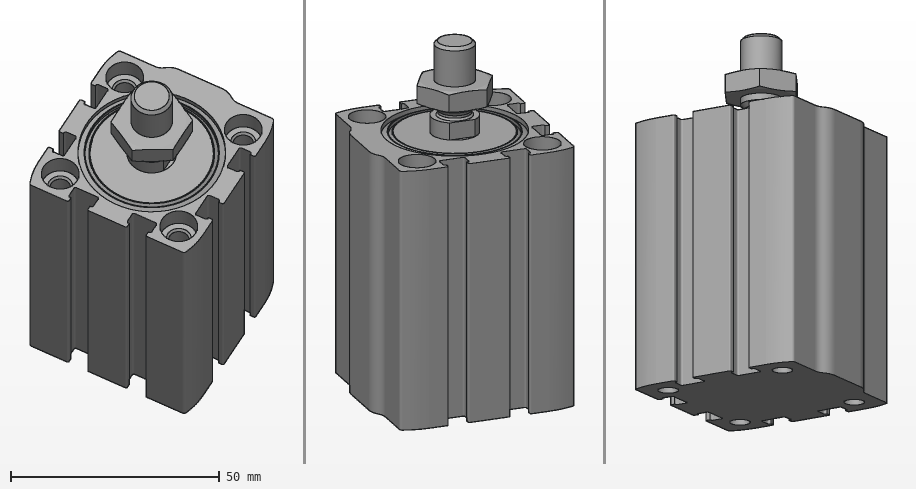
import cadquery as cq
import math

width = 45.0
depth = 47.0
half_width = width / 2
rib_edge = depth - half_width
housing_height = 66.5
total_height = 89.5

side_flat_half = 15.6
side_taper = 1.3
corner_round = 0.8

rib_flat_half = 5.8
rib_foot_half = 11.4
rib_blend_share = 0.6

slot_offset = 8.0
slot_depth = 4.6
slot_width = 6.6
slot_round = 0.45
mouth_depth = 1.3
mouth_width = 5.2
mouth_round = 0.4

hole_pitch = 32.4
hole_diameter = 4.9
countersink_diameter = 6.0
counterbore_diameter = 9.0
counterbore_depth = 5.1

cover_recess = 0.4
outer_groove_diameter = 35.4
outer_groove_inner_diameter = 32.5
outer_groove_drop = 0.9
inner_groove_diameter = 32.0
inner_groove_inner_diameter = 30.2
inner_groove_drop = 0.9
cover_disc_diameter = 29.6
cover_gap_depth = 0.9

rod_diameter = 12.0
rod_flats = 10.0
rod_shoulder_z = 70.5
rod_bore_depth = 17.9
stud_diameter = 10.0
stud_chamfer = 0.8
stud_bottom_z = 72.8
neck_diameter = 8.1
neck_top_z = 71.7
neck_bottom_z = 71.1
neck_foot_diameter = 9.0

nut_flats = 17
nut_height = 5.1
nut_bottom_z = 74.4
nut_face_diameter = 16.65
nut_corner_drop = 0.4

cover_z = housing_height - cover_recess
rod_bottom_z = cover_z - rod_bore_depth


def make_block():
    """Housing block: the right half of the outline, mirrored across the Y axis."""
    corner_x = half_width - side_taper
    bulge_x = half_width - side_taper / 4
    bulge_y = (side_flat_half + half_width) / 2
    blend_x = rib_flat_half + rib_blend_share * (rib_foot_half - rib_flat_half)
    blend_y = rib_edge - rib_blend_share * (rib_edge - half_width)
    block = (
        cq.Workplane("XY")
        .moveTo(0, -half_width)
        .lineTo(corner_x, -half_width)
        .threePointArc((bulge_x, -bulge_y), (half_width, -side_flat_half))
        .lineTo(half_width, side_flat_half)
        .threePointArc((bulge_x, bulge_y), (corner_x, half_width))
        .lineTo(rib_foot_half, half_width)
        .tangentArcPoint((blend_x, blend_y), relative=False)
        .tangentArcPoint((rib_flat_half, rib_edge), relative=False)
        .lineTo(0, rib_edge)
        .mirrorY()
        .extrude(housing_height)
    )
    for x in (-corner_x, corner_x):
        for y in (-half_width, half_width):
            corner = cq.selectors.NearestToPointSelector((x, y, housing_height / 2))
            block = block.edges(corner).fillet(corner_round)
    return block


def slot_cutter():
    """Full-height T-slot that opens toward -Y, with its opening on the X axis."""
    chamber_depth = slot_depth - mouth_depth
    chamber = (
        cq.Workplane("XY")
        .center(0, mouth_depth + chamber_depth / 2)
        .rect(slot_width, chamber_depth)
        .extrude(housing_height)
        .edges("|Z")
        .fillet(slot_round)
    )
    half_mouth = mouth_width / 2
    half_opening = half_mouth + mouth_round
    mouth_end = mouth_depth + slot_round
    mouth = (
        cq.Workplane("XY")
        .moveTo(-half_opening, 0)
        .radiusArc((-half_mouth, mouth_round), -mouth_round)
        .lineTo(-half_mouth, mouth_end)
        .lineTo(half_mouth, mouth_end)
        .lineTo(half_mouth, mouth_round)
        .radiusArc((half_opening, 0), -mouth_round)
        .close()
        .extrude(housing_height)
    )
    return chamber.union(mouth)


def cut_slots(body):
    slot = slot_cutter()
    for side_angle in (-90, 0, 90):
        for offset in (-slot_offset, slot_offset):
            placed = slot.translate((offset, -half_width, 0))
            body = body.cut(placed.rotate((0, 0, 0), (0, 0, 1), side_angle))
    return body


def cut_mounting_holes(body):
    seat_z = housing_height - counterbore_depth
    countersink_depth = (countersink_diameter - hole_diameter) / 2
    cutter = (
        cq.Workplane("XZ")
        .lineTo(hole_diameter / 2, 0)
        .lineTo(hole_diameter / 2, seat_z - countersink_depth)
        .lineTo(countersink_diameter / 2, seat_z)
        .lineTo(counterbore_diameter / 2, seat_z)
        .lineTo(counterbore_diameter / 2, housing_height)
        .lineTo(0, housing_height)
        .close()
        .revolve(360, (0, 0), (0, 1))
    )
    for x in (-hole_pitch / 2, hole_pitch / 2):
        for y in (-hole_pitch / 2, hole_pitch / 2):
            body = body.cut(cutter.translate((x, y, 0)))
    return body


def cut_cover_recess(body):
    recess = (
        cq.Workplane("XY")
        .workplane(offset=cover_z)
        .circle(outer_groove_diameter / 2)
        .extrude(cover_recess)
    )
    return body.cut(recess)


def cut_sloped_groove(body, outer_diameter, inner_diameter, drop):
    groove = (
        cq.Workplane("XZ")
        .moveTo(inner_diameter / 2, cover_z)
        .lineTo(outer_diameter / 2, cover_z - drop)
        .lineTo(outer_diameter / 2, cover_z)
        .close()
        .revolve(360, (0, 0), (0, 1))
    )
    return body.cut(groove)


def cut_cover_gap(body):
    gap = (
        cq.Workplane("XY")
        .workplane(offset=cover_z - cover_gap_depth)
        .circle(inner_groove_inner_diameter / 2)
        .circle(cover_disc_diameter / 2)
        .extrude(cover_gap_depth)
    )
    return body.cut(gap)


def rod_cylinder(bottom_z, top_z):
    return (
        cq.Workplane("XY")
        .workplane(offset=bottom_z)
        .circle(rod_diameter / 2)
        .extrude(top_z - bottom_z)
    )


def make_housing():
    body = make_block()
    body = cut_slots(body)
    body = cut_mounting_holes(body)
    body = cut_cover_recess(body)
    body = cut_sloped_groove(body, outer_groove_diameter, outer_groove_inner_diameter, outer_groove_drop)
    body = cut_sloped_groove(body, inner_groove_diameter, inner_groove_inner_diameter, inner_groove_drop)
    body = cut_cover_gap(body)
    return body.cut(rod_cylinder(rod_bottom_z, cover_z))


def make_rod():
    """Round inside the housing, flats facing -X and +X above it, then the necked stud."""
    flats = cq.Workplane("XY").rect(rod_flats, rod_diameter).extrude(total_height)
    flatted_part = rod_cylinder(cover_z, rod_shoulder_z).intersect(flats)
    stud_radius = stud_diameter / 2
    neck_radius = neck_diameter / 2
    stud = (
        cq.Workplane("XZ")
        .moveTo(0, rod_shoulder_z)
        .lineTo(neck_foot_diameter / 2, rod_shoulder_z)
        .lineTo(neck_radius, neck_bottom_z)
        .lineTo(neck_radius, neck_top_z)
        .lineTo(stud_radius, stud_bottom_z)
        .lineTo(stud_radius, total_height - stud_chamfer)
        .lineTo(stud_radius - stud_chamfer, total_height)
        .lineTo(0, total_height)
        .close()
        .revolve(360, (0, 0), (0, 1))
    )
    return rod_cylinder(rod_bottom_z, cover_z).union(flatted_part).union(stud)


def make_nut():
    """Hexagon nut with corners on the Y axis and both ends of the corners bevelled."""
    corner_radius = nut_flats / math.sqrt(3)
    face_radius = nut_face_diameter / 2
    bevel = (
        cq.Workplane("XZ")
        .lineTo(face_radius, 0)
        .lineTo(corner_radius, nut_corner_drop)
        .lineTo(corner_radius, nut_height - nut_corner_drop)
        .lineTo(face_radius, nut_height)
        .lineTo(0, nut_height)
        .close()
        .revolve(360, (0, 0), (0, 1))
    )
    nut = cq.Workplane("XY").polygon(6, 2 * corner_radius).extrude(nut_height)
    nut = nut.rotate((0, 0, 0), (0, 0, 1), 90).intersect(bevel)
    bore = cq.Workplane("XY").circle(stud_diameter / 2).extrude(nut_height)
    return nut.cut(bore).translate((0, 0, nut_bottom_z))


housing = make_housing()
rod = make_rod()
nut = make_nut()

result = cq.Compound.makeCompound([housing.val(), rod.val(), nut.val()])